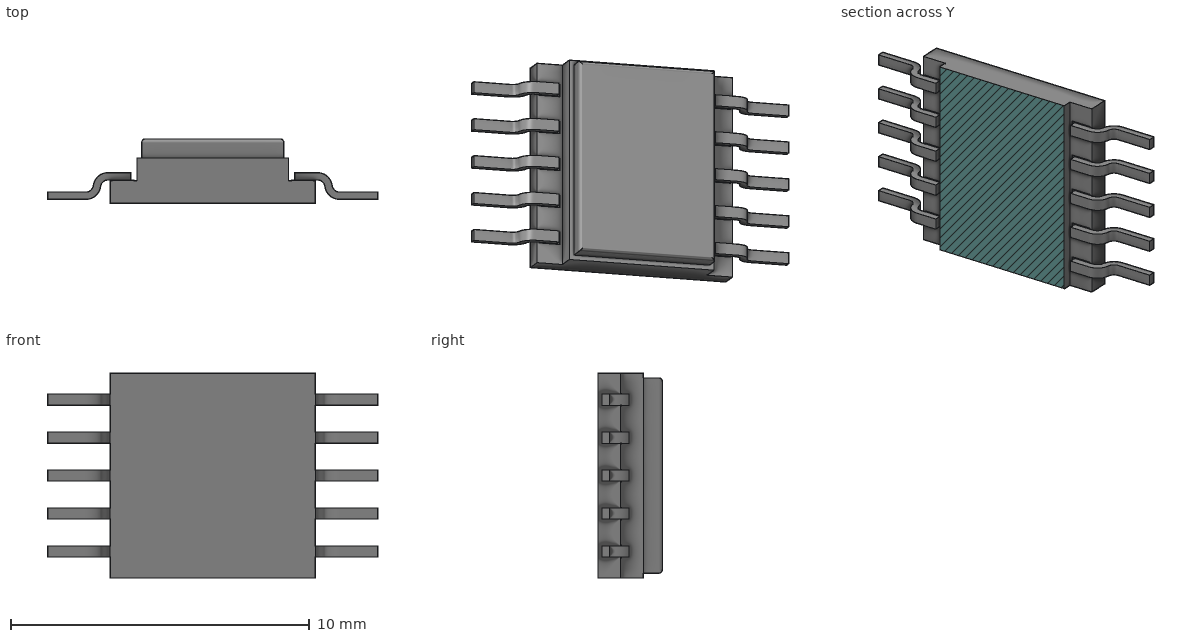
import cadquery as cq
import math

BODY_SIZE = 6.86
BODY_HEIGHT = 1.52
LEDGE_HEIGHT = BODY_HEIGHT / 2
LEDGE_DEPTH = 0.89
LID_TOP = 2.16
LID_INSET = 0.16
LID_ROUND = 0.13

LEAD_SPAN = 11.05
LEAD_COUNT = 5
LEAD_PITCH = 1.27
LEAD_WIDTH = 0.38
LEAD_THICKNESS = 0.25
FOOT_LENGTH = 1.28
FOOT_BOTTOM = 0.13
BEND_RADIUS = 0.25
LEAD_END_INSET = 0.69

PAD_THICKNESS = 0.02
PAD_WIDTH = 0.42
PAD_OUTER_INSET = 0.07
PAD_INNER_INSET = 0.79

half_body = BODY_SIZE / 2
upper_width = BODY_SIZE - 2 * LEDGE_DEPTH


def block(x_min, x_max, y_min, y_max, z_length):
    """Box centred on Z = 0."""
    return cq.Workplane("XY").box(
        x_max - x_min, y_max - y_min, z_length, centered=(False, False, True)
    ).translate((x_min, y_min, 0))


def make_body():
    base = block(-half_body, half_body, 0, LEDGE_HEIGHT, BODY_SIZE)
    upper = block(-upper_width / 2, upper_width / 2, LEDGE_HEIGHT, BODY_HEIGHT, BODY_SIZE)
    return base.union(upper)


def make_lid():
    half_lid = upper_width / 2 - LID_INSET
    lid = block(-half_lid, half_lid, BODY_HEIGHT, LID_TOP, BODY_SIZE - 2 * LID_INSET)
    return lid.faces(">Y").edges().fillet(LID_ROUND)


def make_lead():
    """Left lead: foot, two equal and opposite tangent bends, then a shoulder on the pad."""
    tip_x = -LEAD_SPAN / 2
    end_x = -half_body + LEAD_END_INSET
    foot_top = FOOT_BOTTOM + LEAD_THICKNESS
    shoulder_bottom = LEDGE_HEIGHT + PAD_THICKNESS
    shoulder_top = shoulder_bottom + LEAD_THICKNESS
    outer_radius = BEND_RADIUS + LEAD_THICKNESS

    center_distance = BEND_RADIUS + outer_radius
    rise = shoulder_bottom - FOOT_BOTTOM
    bend_angle = math.acos(1 - rise / center_distance)
    lower_x = tip_x + FOOT_LENGTH
    lower_y = FOOT_BOTTOM + outer_radius
    upper_x = lower_x + center_distance * math.sin(bend_angle)
    upper_y = shoulder_bottom - BEND_RADIUS

    def on_lower(radius, angle):
        return (lower_x + radius * math.sin(angle), lower_y - radius * math.cos(angle))

    def on_upper(radius, angle):
        return (upper_x - radius * math.sin(angle), upper_y + radius * math.cos(angle))

    half_angle = bend_angle / 2
    profile = (
        cq.Workplane("XY")
        .moveTo(tip_x, FOOT_BOTTOM)
        .lineTo(lower_x, FOOT_BOTTOM)
        .threePointArc(on_lower(outer_radius, half_angle), on_lower(outer_radius, bend_angle))
        .threePointArc(on_upper(BEND_RADIUS, half_angle), (upper_x, shoulder_bottom))
        .lineTo(end_x, shoulder_bottom)
        .lineTo(end_x, shoulder_top)
        .lineTo(upper_x, shoulder_top)
        .threePointArc(on_upper(outer_radius, half_angle), on_upper(outer_radius, bend_angle))
        .threePointArc(on_lower(BEND_RADIUS, half_angle), (lower_x, foot_top))
        .lineTo(tip_x, foot_top)
        .close()
    )
    return profile.extrude(LEAD_WIDTH / 2, both=True)


def make_pad():
    return block(
        -half_body + PAD_OUTER_INSET,
        -half_body + PAD_INNER_INSET,
        LEDGE_HEIGHT,
        LEDGE_HEIGHT + PAD_THICKNESS,
        PAD_WIDTH,
    )


left_contact = make_pad().union(make_lead())
right_contact = left_contact.mirror("YZ")

result = make_body().union(make_lid())
for index in range(LEAD_COUNT):
    z = (index - (LEAD_COUNT - 1) / 2) * LEAD_PITCH
    for contact in (left_contact, right_contact):
        result = result.union(contact.translate((0, 0, z)))